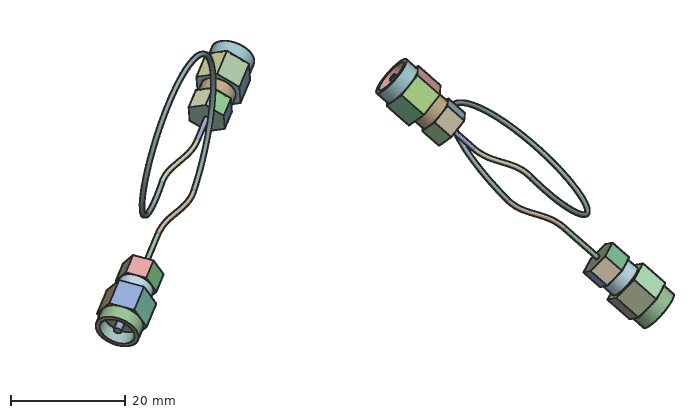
import cadquery as cq
import math

overall_length = 63.75
rim_length = 2.6
coupling_length = 5.35
neck_length = 2.5
rear_hex_length = 4.0
coupling_corners = 9.2
coupling_flats = coupling_corners * math.cos(math.radians(30))
rim_diameter = coupling_flats
neck_diameter = 6.45
rear_hex_corners = 7.5
bore_diameter = 6.45
bore_depth = 2.6
pin_diameter = 1.4
pin_recess = 0.2
back_connector_roll = 2.8

connector_length = rim_length + coupling_length + neck_length + rear_hex_length
connector_face = overall_length / 2 - connector_length

cable_diameter = 0.9
loop_radius = 15.0
loop_center_y = 1.45
loop_pitch = 5.85
bend_length = 10.85
points_per_turn = 24


def make_connector():
    """Connector along +Z, with its mating end at the origin."""
    body = (
        cq.Workplane("XY")
        .circle(rim_diameter / 2).extrude(rim_length)
        .faces(">Z").workplane().polygon(6, coupling_corners).extrude(coupling_length)
        .faces(">Z").workplane().circle(neck_diameter / 2).extrude(neck_length)
        .faces(">Z").workplane().polygon(6, rear_hex_corners).extrude(rear_hex_length)
    )
    bore = cq.Workplane("XY").circle(bore_diameter / 2).extrude(bore_depth)
    pin = (
        cq.Workplane("XY", origin=(0, 0, pin_recess))
        .circle(pin_diameter / 2).extrude(bore_depth - pin_recess)
    )
    return body.cut(bore.cut(pin))


def place_connector(facing_angle, roll):
    """Lay the connector along Y, then turn it about Z so it faces its own end."""
    return (
        make_connector()
        .rotate((0, 0, 0), (0, 0, 1), roll)
        .rotate((0, 0, 0), (1, 0, 0), -90)
        .translate((0, -overall_length / 2, 0))
        .rotate((0, 0, 0), (0, 0, 1), facing_angle)
    )


def loop_point(turn):
    """Point on the helical centreline after the given fraction of one turn."""
    angle = 2 * math.pi * turn
    return cq.Vector(
        loop_pitch * (0.5 - turn),
        loop_center_y + loop_radius * math.sin(angle),
        loop_radius * (1 - math.cos(angle)),
    )


def make_cable():
    """Round cable swept along the straight ends, the S-bends and the loop."""
    along_y = cq.Vector(0, 1, 0)
    loop_velocity = cq.Vector(-loop_pitch, 2 * math.pi * loop_radius, 0)
    loop_tangent = loop_velocity.normalized()
    front_end = cq.Vector(0, -connector_face, 0)
    front_bend = cq.Vector(0, loop_center_y - bend_length, 0)
    back_bend = cq.Vector(0, loop_center_y + bend_length, 0)
    back_end = cq.Vector(0, connector_face, 0)
    turns = [i / points_per_turn for i in range(points_per_turn + 1)]
    loop_points = [loop_point(turn) for turn in turns]
    path = cq.Wire.assembleEdges([
        cq.Edge.makeLine(front_end, front_bend),
        cq.Edge.makeSpline([front_bend, loop_points[0]], [along_y, loop_tangent]),
        cq.Edge.makeSpline(loop_points, [loop_velocity, loop_velocity], parameters=turns, scale=False),
        cq.Edge.makeSpline([loop_points[-1], back_bend], [loop_tangent, along_y]),
        cq.Edge.makeLine(back_bend, back_end),
    ])
    return (
        cq.Workplane("XZ", origin=front_end.toTuple())
        .circle(cable_diameter / 2)
        .sweep(cq.Workplane(path))
    )


connectors = [
    place_connector(facing_angle, roll)
    for facing_angle, roll in ((0, 0), (180, 30 + back_connector_roll))
]
cable = make_cable()

result = cq.Compound.makeCompound([*[connector.val() for connector in connectors], cable.val()])